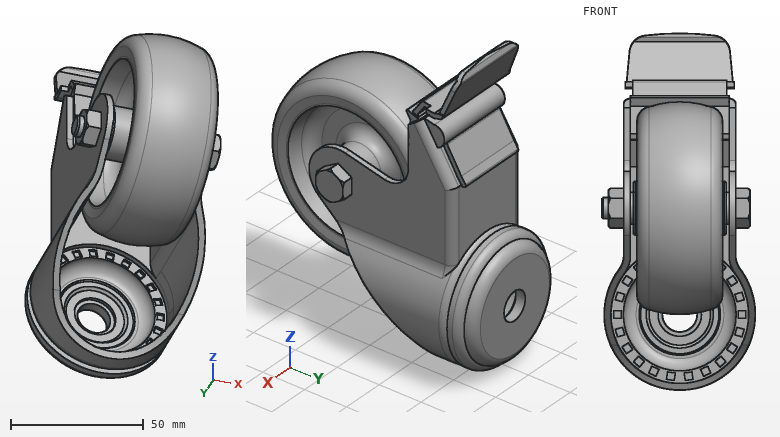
import cadquery as cq
import math


swivel_z = -40.0
head_radius = 28.5
head_back = 67.9
head_step = 63.6
head_rim = 60.2
head_face = 57.8
head_top_radius = 21.1
neck_radius = 25.4
head_flange_mid = (27.5, 62.2)
head_crown_mid = (24.2, 66.1)
mount_hole_diameter = 13.0
rivet_diameter = 16.4
rivet_lip_radius = 11.5
rivet_flange_radius = 16.5
rivet_flange_width = 1.2
rivet_seat_radius = 14.8
rivet_lip_slope = 1.1
funnel_radius = 21.2
funnel_floor = 60.5
rivet_seat = 61.0
rivet_floor = 62.1
rivet_step = 1.3
funnel_mid = (19.6, 58.9)
tooth_count = 22
tooth_inner_radius = 22.0
tooth_outer_radius = 24.9
tooth_width = 3.0
tooth_depth = 1.1

sheet = 2.5
dish_front = 57.0
dish_fillet = 3.2
dish_overlap = 5.4
web_front = 54.7
web_fillet = 3.8
fork_half_width = 21.1
fork_inner_half_width = fork_half_width - sheet
blend_radius = 8.9
lug_radius = 13.8
fork_reach = -20.2
slant_bottom_z = 16.4
fork_top_y = 39.3
fork_top_z = 41.5
fork_rear_y = 33.6
rear_corner_z = 37.8
throat_radius = 9.4
arm_top_angle = math.radians(13.5)
arm_bottom_angle = math.radians(43)
skirt_straight = 60.5
skirt_mid = (43.0, -60.0)
skirt_end_y = 47.7

pedal_sheet = 2.2
pedal_path = [(53.9, 64.8), (54.7, 62.6), (48.3, 46.7), (45.6, 46.0),
              (38.2, 47.0), (34.1, 41.5), (35.6, 38.3)]
pedal_top_z = 65.9
paddle_shoulder = (13.0, 65.1)
paddle_corner_mid = (17.1, 63.0)
paddle_corner = (19.0, 59.2)
paddle_base_half_width = 20.0
paddle_base_z = 47.6
pedal_ear_half_width = 20.6
pedal_ear_front = 41.7
pedal_neck_half_width = 17.7
flap_outline = [(37.6, 39.7), (32.3, 41.7), (31.3, 42.3), (30.5, 41.7), (32.5, 38.3),
                (31.5, 28.0), (32.1, 26.0), (34.3, 25.5)]
cam_center = (43.8, 35.5)
cam_radius = 5.0
tongue_path = [(56.0, 17.2), (54.0, 20.2), (47.3, 31.7)]
tongue_half_width = 16.1

wheel_radius = 40.0
wheel_width = 32.3
crown_half_width = 11.7
crown_edge_radius = 38.2
side_radius = 33.1
shoulder_mid = (14.9, 36.2)
rim_radius = 29.3
rim_lip_radius = 28.4
rim_inset = 0.7
web_outer_radius = 22.2
bowl_radius = 27.3
bowl_x = 8.7
bowl_mid = (4.3, 25.5)
web_half_thickness = 2.7
hub_radius = 10.2
hub_fillet = 5.4
hub_half_length = 17.5
hub_edge = 0.7
bore_diameter = 12.1

spacer_diameter = 12.0
bolt_diameter = 8.0
bolt_end = 29.5
bolt_chamfer = 0.7
hex_flats = 13.0
nut_outer_x = 26.9
head_outer_x = 26.5
hex_edge = 0.8
point_up = 30


def strip(path, thickness, half_width):
    """Bent sheet strip that follows a path in the YZ plane, centred on X = 0."""
    wire = cq.Workplane("YZ").polyline(path).wire().offset2D(thickness / 2)
    return wire.extrude(half_width, both=True)


def cylinder_y(radius, y_start, y_end):
    """Cylinder on the swivel axis between two Y positions."""
    plane = cq.Workplane("XZ", origin=(0, y_start, swivel_z))
    return plane.circle(radius).extrude(y_start - y_end)


def fork_profile(inset):
    """Keyhole outline of the fork in XZ, moved inward by the inset."""
    radius = head_radius - inset
    half_width = fork_half_width - inset
    blend = blend_radius + inset
    blend_x = half_width + blend
    blend_z = math.sqrt((radius + blend) ** 2 - blend_x ** 2)
    share = radius / (radius + blend)
    angle = math.pi + math.atan2(blend_z, blend_x) / 2
    middle = (blend_x + blend * math.cos(angle), blend_z + blend * math.sin(angle))
    tangent = (blend_x * share, blend_z * share)
    top = fork_top_z - swivel_z + sheet
    return (
        cq.Workplane("XZ", origin=(0, fork_reach, swivel_z))
        .moveTo(half_width, top)
        .lineTo(half_width, blend_z)
        .threePointArc(middle, tangent)
        .threePointArc((0, -radius), (-tangent[0], tangent[1]))
        .threePointArc((-middle[0], middle[1]), (-half_width, blend_z))
        .lineTo(-half_width, top)
        .close()
    )


def fork_side():
    """Side outline of the fork, extruded across its whole width."""
    upper = (lug_radius * math.sin(arm_top_angle), lug_radius * math.cos(arm_top_angle))
    lower = (-lug_radius * math.sin(arm_bottom_angle), -lug_radius * math.cos(arm_bottom_angle))
    throat_z = (lug_radius - fork_rear_y * math.sin(arm_top_angle)) / math.cos(arm_top_angle)
    skirt_y = lower[0] + skirt_straight * math.cos(arm_bottom_angle)
    skirt_z = lower[1] - skirt_straight * math.sin(arm_bottom_angle)
    bottom = swivel_z - head_radius
    side = (
        cq.Workplane("YZ")
        .moveTo(fork_rear_y, throat_z)
        .lineTo(*upper)
        .threePointArc((-lug_radius, 0), lower)
        .lineTo(skirt_y, skirt_z)
        .threePointArc(skirt_mid, (skirt_end_y, bottom))
        .lineTo(web_front, bottom)
        .lineTo(web_front, slant_bottom_z)
        .lineTo(fork_top_y, fork_top_z)
        .lineTo(fork_rear_y, rear_corner_z)
        .close()
        .extrude(head_radius, both=True)
    )
    throat = cq.selectors.NearestToPointSelector((0, fork_rear_y, throat_z))
    return side.edges("|X").edges(throat).fillet(throat_radius)


def fork_cavity():
    """Space inside the sheet, one sheet thickness behind the upright and slanted webs."""
    depth = web_front - fork_reach
    slant = math.atan2(web_front - fork_top_y, fork_top_z - slant_bottom_z)
    back = web_front - sheet
    bend_z = slant_bottom_z - sheet * math.tan(slant / 2)
    top = fork_top_z + sheet
    bottom = swivel_z - head_radius
    region = (
        cq.Workplane("YZ")
        .moveTo(fork_reach, bottom)
        .lineTo(back, bottom)
        .lineTo(back, bend_z)
        .lineTo(back - (top - bend_z) * math.tan(slant), top)
        .lineTo(fork_reach, top)
        .close()
        .extrude(head_radius, both=True)
    )
    return fork_profile(sheet).extrude(-depth).intersect(region)


def make_fork():
    """Bent sheet fork with rounded web corners and a raised round dish at its lower end."""
    shell = fork_profile(0).extrude(fork_reach - web_front).intersect(fork_side())
    slant_y = (web_front + fork_top_y) / 2
    slant_z = (slant_bottom_z + fork_top_z) / 2
    corners = shell.faces(">Y").edges("not |X")
    for x in (-fork_half_width, fork_half_width):
        corners = corners.add(shell.edges(cq.selectors.NearestToPointSelector((x, slant_y, slant_z))))
    shell = corners.fillet(web_fillet)
    dish = cylinder_y(head_radius, web_front - dish_overlap, dish_front)
    dish = dish.faces(">Y").edges().fillet(dish_fillet)
    shell = shell.union(dish)
    shell = shell.cut(fork_cavity())
    return shell.cut(cylinder_y(head_radius - sheet, web_front - dish_overlap - sheet, dish_front - sheet))


def make_head():
    """Round swivel head with a flange and a rounded crown, joined to the dish by a neck."""
    return (
        cq.Workplane("XY")
        .moveTo(0, dish_front - sheet / 2)
        .lineTo(neck_radius, dish_front - sheet / 2)
        .lineTo(neck_radius, head_face)
        .lineTo(head_radius, head_face)
        .lineTo(head_radius, head_rim)
        .threePointArc(head_flange_mid, (neck_radius, head_step))
        .threePointArc(head_crown_mid, (head_top_radius, head_back))
        .lineTo(0, head_back)
        .close()
        .revolve(360, (0, 0, 0), (0, 1, 0))
        .translate((0, 0, swivel_z))
    )


def make_race():
    """Tool for the funnel, the stepped hollow rivet and the mounting hole behind the dish floor."""
    funnel = (
        cq.Workplane("XY")
        .moveTo(0, dish_front - sheet)
        .lineTo(funnel_radius, dish_front - sheet)
        .threePointArc(funnel_mid, (rivet_flange_radius, funnel_floor))
        .lineTo(rivet_flange_radius - rivet_flange_width, funnel_floor)
        .lineTo(rivet_seat_radius, rivet_seat)
        .lineTo(rivet_lip_radius + rivet_lip_slope, rivet_seat)
        .lineTo(rivet_lip_radius, rivet_floor)
        .lineTo(0, rivet_floor)
        .close()
        .revolve(360, (0, 0, 0), (0, 1, 0))
        .translate((0, 0, swivel_z))
    )
    counterbore = cylinder_y(rivet_diameter / 2, funnel_floor, rivet_floor + rivet_step)
    hole = cylinder_y(mount_hole_diameter / 2, funnel_floor, head_back)
    return funnel.union(counterbore).union(hole)


def make_teeth():
    """Ring of locking recesses in the dish floor."""
    teeth = cq.Workplane("XZ", origin=(0, dish_front - sheet, swivel_z))
    teeth = teeth.polarArray((tooth_inner_radius + tooth_outer_radius) / 2, 0, 360, tooth_count)
    return teeth.rect(tooth_outer_radius - tooth_inner_radius, tooth_width).extrude(-tooth_depth)


def make_pedal():
    """Foot pedal: bent sheet with a crowned paddle, two ears and a narrow neck."""
    pedal = strip(pedal_path, pedal_sheet, pedal_ear_half_width)
    corner_x, corner_z = paddle_corner
    mid_x, mid_z = paddle_corner_mid
    shoulder_x, shoulder_z = paddle_shoulder
    outline = (
        cq.Workplane("XZ")
        .moveTo(pedal_ear_half_width, 0)
        .lineTo(pedal_ear_half_width, paddle_base_z)
        .lineTo(paddle_base_half_width, paddle_base_z)
        .lineTo(corner_x, corner_z)
        .threePointArc((mid_x, mid_z), (shoulder_x, shoulder_z))
        .threePointArc((0, pedal_top_z), (-shoulder_x, shoulder_z))
        .threePointArc((-mid_x, mid_z), (-corner_x, corner_z))
        .lineTo(-paddle_base_half_width, paddle_base_z)
        .lineTo(-pedal_ear_half_width, paddle_base_z)
        .lineTo(-pedal_ear_half_width, 0)
        .close()
        .extrude(-head_back)
    )
    pedal = pedal.intersect(outline)
    notch_width = pedal_ear_half_width - pedal_neck_half_width
    for side in (-1, 1):
        notch = cq.Workplane("XY").box(notch_width, pedal_ear_front, head_back)
        middle = side * (pedal_ear_half_width + pedal_neck_half_width) / 2
        pedal = pedal.cut(notch.translate((middle, pedal_ear_front / 2, head_back / 2)))
    return pedal


def make_brake():
    """Pedal, the flap hanging over the wheel, the cam and the locking tongue."""
    flap = cq.Workplane("YZ").polyline(flap_outline).close().extrude(fork_inner_half_width, both=True)
    cam_y, cam_z = cam_center
    cam = cq.Workplane("YZ").center(cam_y, cam_z).circle(cam_radius)
    cam = cam.extrude(fork_inner_half_width, both=True)
    cam_arm = (
        cq.Workplane("YZ")
        .polyline([cam_center, (cam_y, cam_z + cam_radius), (fork_top_y, fork_top_z), flap_outline[0]])
        .close()
        .extrude(fork_inner_half_width, both=True)
    )
    tongue = strip(tongue_path, pedal_sheet, tongue_half_width)
    return make_pedal().union(flap).union(cam).union(cam_arm).union(tongue)


def make_wheel():
    """Crowned tyre on a dished rim, turned about the X axis and mirrored about its middle."""
    half_width = wheel_width / 2
    rim_x = half_width - rim_inset
    bore_radius = bore_diameter / 2
    fillet_mid = hub_fillet * (1 - math.sqrt(0.5))
    web_x = web_half_thickness
    half = (
        cq.Workplane("XY")
        .moveTo(0, bore_radius)
        .lineTo(0, crown_edge_radius)
        .lineTo(crown_half_width, crown_edge_radius)
        .threePointArc(shoulder_mid, (half_width, side_radius))
        .lineTo(rim_x, rim_radius)
        .lineTo(rim_x, rim_lip_radius)
        .lineTo(bowl_x, bowl_radius)
        .threePointArc(bowl_mid, (web_x, web_outer_radius))
        .lineTo(web_x, hub_radius + hub_fillet)
        .threePointArc(
            (web_x + fillet_mid, hub_radius + fillet_mid),
            (web_x + hub_fillet, hub_radius),
        )
        .lineTo(hub_half_length - hub_edge, hub_radius)
        .lineTo(hub_half_length, hub_radius - hub_edge)
        .lineTo(hub_half_length, bore_radius)
        .close()
        .revolve(360, (0, 0, 0), (1, 0, 0))
    )
    crown = (
        cq.Workplane("XY")
        .moveTo(-crown_half_width, crown_edge_radius)
        .threePointArc((0, wheel_radius), (crown_half_width, crown_edge_radius))
        .close()
        .revolve(360, (0, 0, 0), (1, 0, 0))
    )
    return half.union(half.mirror("YZ")).union(crown)


def hexagon(x_start, x_end):
    """Hexagon around the bolt, with a point up and its outer corners turned off."""
    corners = hex_flats / math.cos(math.radians(point_up))
    length = abs(x_end - x_start)
    prism = cq.Workplane("YZ").polygon(6, corners).extrude(length)
    turned = cq.Workplane("YZ").circle(corners / 2).extrude(length).faces(">X").chamfer(hex_edge)
    nut = prism.rotate((0, 0, 0), (1, 0, 0), point_up).intersect(turned).translate((abs(x_start), 0, 0))
    return nut if x_end > 0 else nut.mirror("YZ")


def rod(diameter, x_start, x_end):
    """Cylinder on the wheel axis between two X positions."""
    return cq.Workplane("YZ", origin=(x_start, 0, 0)).circle(diameter / 2).extrude(x_end - x_start)


def make_axle():
    """Bolt with its nut, head and the spacer between the fork arms, as one body."""
    bolt = rod(bolt_diameter, -bolt_end, fork_half_width).faces("<X").chamfer(bolt_chamfer)
    spacer = rod(spacer_diameter, -fork_inner_half_width, fork_inner_half_width)
    nut = hexagon(-fork_half_width, -nut_outer_x)
    head = hexagon(fork_half_width, head_outer_x)
    return bolt.union(spacer).union(nut).union(head)


def make_bracket():
    """Swivel head, fork and brake as one housing, with the bolt holes through the fork arms."""
    bracket = make_fork().union(make_head()).cut(make_race()).cut(make_teeth())
    bracket = bracket.union(make_brake())
    return bracket.cut(rod(bolt_diameter, -fork_half_width, fork_half_width))


bracket = make_bracket()
wheel = make_wheel()
axle = make_axle()
result = cq.Compound.makeCompound([bracket.solids().val(), wheel.solids().val(), axle.solids().val()])